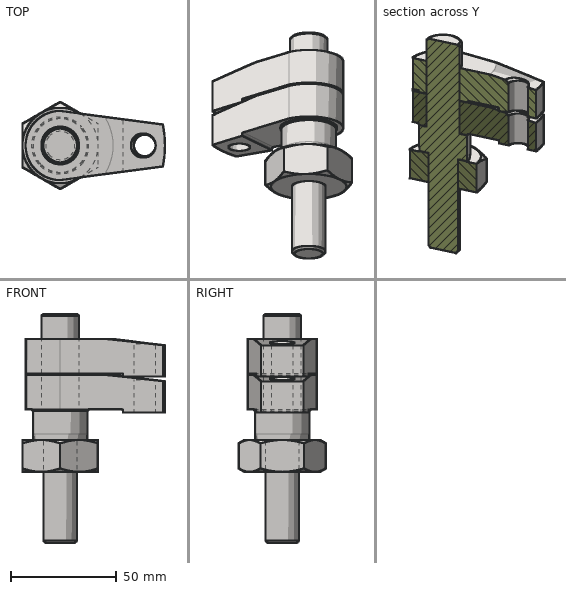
import cadquery as cq
import math

total_height = 109.0
nut_bottom = 33.9
nut_height = 15.2
collar_edge = 52.0
arm_top = 97.1

pin_diameter = 18.0
shank_diameter = 16.0
collar_diameter = 26.0
seat_curve_radius = 19.6
pin_chamfer = 1.0
shank_chamfer = 1.2

nut_across_flats = 36.0
nut_chamfer_angle = 30.0

arm_count = 2
arm_thickness = 16.5
pad_height = 0.7
pad_diameter = 27.1
hub_radius = 16.5
arm_reach = 49.9
tip_half_width = 10.0
slope_start_radius = 25.2
slope_angle = 7.0
toe_start = 29.9
toe_depth = 1.5
toe_fillet = 0.7
tip_hole_diameter = 10.2
tip_hole_reach = 40.2
tip_hole_chamfer = 0.7

nut_top = nut_bottom + nut_height
arm_pitch = arm_thickness + pad_height
collar_top = arm_top - arm_count * arm_pitch


def slope_drop(radius):
    """Drop of the conical top of an arm at a given distance from the stud axis."""
    return (radius - slope_start_radius) * math.tan(math.radians(slope_angle))


def make_stud():
    """Turned stud: shank, collar with a rounded seat, and upper pin."""
    pin_radius = pin_diameter / 2
    shank_radius = shank_diameter / 2
    collar_radius = collar_diameter / 2

    def seat_radius(z):
        curve_reach = math.sqrt(seat_curve_radius**2 - (collar_edge - z) ** 2)
        return collar_radius - seat_curve_radius + curve_reach

    seat_middle = (collar_edge + nut_top) / 2
    return (
        cq.Workplane("XZ")
        .moveTo(0, 0)
        .lineTo(shank_radius - shank_chamfer, 0)
        .lineTo(shank_radius, shank_chamfer)
        .lineTo(shank_radius, nut_top)
        .lineTo(seat_radius(nut_top), nut_top)
        .threePointArc((seat_radius(seat_middle), seat_middle), (collar_radius, collar_edge))
        .lineTo(collar_radius, collar_top)
        .lineTo(pin_radius, collar_top)
        .lineTo(pin_radius, total_height - pin_chamfer)
        .lineTo(pin_radius - pin_chamfer, total_height)
        .lineTo(0, total_height)
        .close()
        .revolve(360, (0, 0, 0), (0, 1, 0))
    )


def make_nut():
    """Hexagon nut with corners along Y, its corners turned off at both ends."""
    flat_radius = nut_across_flats / 2
    corner_radius = flat_radius / math.cos(math.radians(30))
    corner_drop = (corner_radius - flat_radius) * math.tan(math.radians(nut_chamfer_angle))
    hexagon = (
        cq.Workplane("XY", origin=(0, 0, nut_bottom))
        .polygon(6, 2 * corner_radius)
        .extrude(nut_height)
        .rotate((0, 0, 0), (0, 0, 1), 30)
    )
    turned_blank = (
        cq.Workplane("XZ")
        .moveTo(0, nut_bottom)
        .lineTo(flat_radius, nut_bottom)
        .lineTo(corner_radius, nut_bottom + corner_drop)
        .lineTo(corner_radius, nut_top - corner_drop)
        .lineTo(flat_radius, nut_top)
        .lineTo(0, nut_top)
        .close()
        .revolve(360, (0, 0, 0), (0, 1, 0))
    )
    bore = cq.Workplane("XY", origin=(0, 0, nut_bottom)).circle(shank_diameter / 2).extrude(nut_height)
    return hexagon.intersect(turned_blank).cut(bore)


def arm_blank():
    """Tapered arm outline with a round hub and a tip arc about the stud axis."""
    tip_corner_x = math.sqrt(arm_reach**2 - tip_half_width**2)
    return (
        cq.Workplane("XY", origin=(0, 0, -toe_depth))
        .moveTo(0, hub_radius)
        .threePointArc((-hub_radius, 0), (0, -hub_radius))
        .lineTo(tip_corner_x, -tip_half_width)
        .threePointArc((arm_reach, 0), (tip_corner_x, tip_half_width))
        .close()
        .extrude(arm_thickness + toe_depth)
    )


def underside_relief():
    """Space below the hub, rounded where it meets the step of the toe."""
    relief_length = toe_start + hub_radius
    return (
        cq.Workplane("XY", origin=(-hub_radius, 0, -toe_depth))
        .box(relief_length, 2 * hub_radius, toe_depth, centered=(False, True, False))
        .edges(">X and >Z")
        .fillet(toe_fillet)
    )


def top_slope():
    """Ring above the cone that lowers the top towards the tip."""
    return (
        cq.Workplane("XZ")
        .moveTo(slope_start_radius, arm_thickness)
        .lineTo(arm_reach, arm_thickness)
        .lineTo(arm_reach, arm_thickness - slope_drop(arm_reach))
        .close()
        .revolve(360, (0, 0, 0), (0, 1, 0))
    )


def hub_pad():
    """Slightly tapered pad below the hub that spaces the arm from what it rests on."""
    return (
        cq.Workplane("XY")
        .circle(pad_diameter / 2)
        .workplane(offset=-pad_height)
        .circle(collar_diameter / 2)
        .loft()
    )


def tip_hole():
    """Through hole near the tip with a chamfered upper rim."""
    hole_radius = tip_hole_diameter / 2
    rim_z = arm_thickness - slope_drop(tip_hole_reach)
    cone_top = arm_thickness
    cone_bottom = rim_z - tip_hole_chamfer
    return (
        cq.Workplane("XZ", origin=(tip_hole_reach, 0, 0))
        .moveTo(0, -toe_depth)
        .lineTo(hole_radius, -toe_depth)
        .lineTo(hole_radius, cone_bottom)
        .lineTo(hole_radius + cone_top - cone_bottom, cone_top)
        .lineTo(0, cone_top)
        .close()
        .revolve(360, (0, 0, 0), (0, 1, 0))
    )


def make_arm(underside_z):
    """Clamp arm whose hub underside lies at the given height."""
    pin_bore = (
        cq.Workplane("XY", origin=(0, 0, -pad_height))
        .circle(pin_diameter / 2)
        .extrude(arm_thickness + pad_height)
    )
    arm = arm_blank().cut(underside_relief()).cut(top_slope()).union(hub_pad())
    arm = arm.cut(pin_bore).cut(tip_hole())
    return arm.translate((0, 0, underside_z))


stud = make_stud()
nut = make_nut()
arms = [make_arm(collar_top + pad_height + level * arm_pitch) for level in range(arm_count)]

result = cq.Compound.makeCompound([stud.val(), nut.val(), *[arm.val() for arm in arms]])